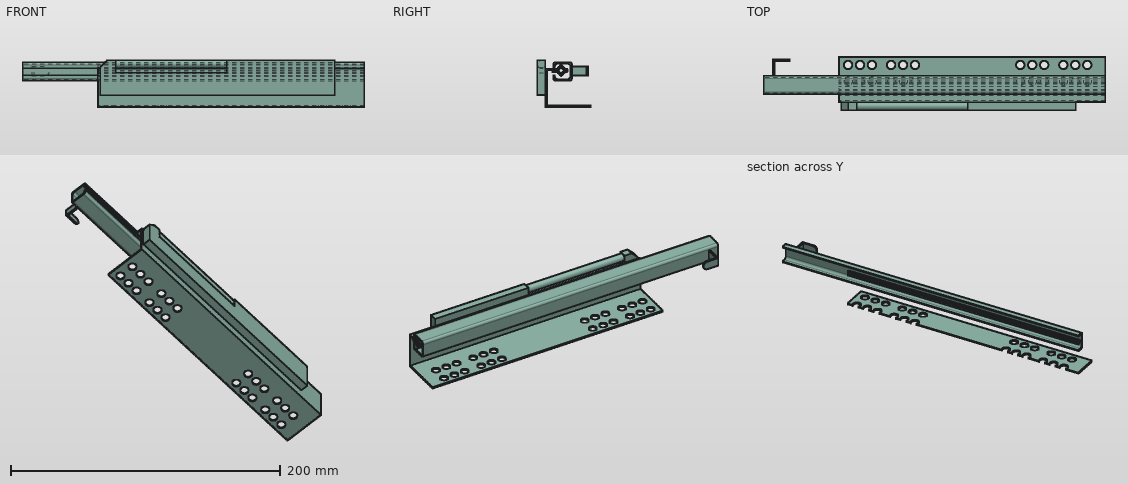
import cadquery as cq

LENGTH = 254.0
DEPTH = 40.0
HEIGHT = 35.0
SHEET = 1.3

COVER_DEPTH = 6.0
COVER_X = 57.7
COVER_LENGTH = 174.5
COVER_BOTTOM = 9.0
COVER_CHAMFER = 5.3
WINDOW_X = 69.0
WINDOW_LENGTH = 82.5
WINDOW_DEPTH = 9.5

RAIL_SIZE = 14.0
RAIL_Y = 12.0
RAIL_BOTTOM = 19.5
RAIL_RADIUS = 2.0
SLOT_BOTTOM = 24.0
SLOT_TOP = 29.0
TAB_X = 6.9
TAB_LENGTH = 12.7
TAB_BOTTOM = 23.4
TAB_HEIGHT = 6.9
TAB_BACK = 37.8

BRACKET_X = 56.0
BRACKET_LENGTH = LENGTH - BRACKET_X
LIP_TOP = 28.7
FOLD_GAP = 0.3
FOLD_HALF = SHEET + FOLD_GAP / 2
LIP_MID = LIP_TOP - FOLD_HALF
RETURN_EDGE_Y = 11.2
NOSE_Y = 22.5
DIAMOND_Y = 17.8
DIAMOND_HALF = 4.3
DIAMOND_INNER_HALF = 2.3

HOLE_DIAMETER = 6.0
HOLE_INSET = 6.0
ROW_PITCH = 12.0
FIRST_HOLE_X = 62.7
HOLE_PITCH = 9.0
GROUP_PITCH = 32.0
SET_PITCH = 128.0
ROWS = 2
SETS_PER_ROW = 2
GROUPS_PER_SET = 2
HOLES_PER_GROUP = 3


def box(x, y, z, length, depth, height):
    """Box with its lowest corner at (x, y, z)."""
    return cq.Workplane().box(length, depth, height, centered=False).translate((x, y, z))


def diamond(half):
    """Square bar standing on its edge, as long as the bracket."""
    corners = [
        (DIAMOND_Y - half, LIP_MID),
        (DIAMOND_Y, LIP_MID + half),
        (DIAMOND_Y + half, LIP_MID),
        (DIAMOND_Y, LIP_MID - half),
    ]
    return cq.Workplane("YZ", origin=(BRACKET_X, 0, 0)).polyline(corners).close().extrude(BRACKET_LENGTH)


def make_tab():
    """Hook that leaves the rail back and turns along X to a round end."""
    back_wall_y = RAIL_Y + RAIL_SIZE - SHEET
    arm = box(TAB_X, back_wall_y, TAB_BOTTOM, SHEET, TAB_BACK - back_wall_y, TAB_HEIGHT)
    end_radius = TAB_HEIGHT / 2
    finger = box(TAB_X, TAB_BACK - SHEET, TAB_BOTTOM, TAB_LENGTH - end_radius, SHEET, TAB_HEIGHT)
    end_x = TAB_X + TAB_LENGTH - end_radius
    end_plane = cq.Workplane("XZ", origin=(end_x, TAB_BACK, TAB_BOTTOM + end_radius))
    end_disc = end_plane.circle(end_radius).extrude(SHEET)
    return arm.union(finger).union(end_disc)


def make_rail():
    channel = box(0, RAIL_Y, RAIL_BOTTOM, LENGTH, RAIL_SIZE, RAIL_SIZE).edges("|X").fillet(RAIL_RADIUS)
    inner_size = RAIL_SIZE - 2 * SHEET
    bore = box(0, RAIL_Y + SHEET, RAIL_BOTTOM + SHEET, LENGTH, inner_size, inner_size)
    bore = bore.edges("|X").fillet(RAIL_RADIUS)
    slot = box(0, RAIL_Y, SLOT_BOTTOM, LENGTH, SHEET, SLOT_TOP - SLOT_BOTTOM)
    return channel.cut(bore).cut(slot).union(make_tab())


def make_lip():
    """Lip folded back on itself, opened into a diamond and rounded at its nose."""
    fold_depth = NOSE_Y - RETURN_EDGE_Y
    strip = box(BRACKET_X, RETURN_EDGE_Y, LIP_MID - FOLD_HALF, BRACKET_LENGTH, fold_depth, 2 * FOLD_HALF)
    strip = strip.edges("|X and >Y").fillet(SHEET)
    slit_bottom = LIP_MID - FOLD_GAP / 2
    slit = box(BRACKET_X, RETURN_EDGE_Y, slit_bottom, BRACKET_LENGTH, fold_depth - SHEET, FOLD_GAP)
    fold = strip.union(diamond(DIAMOND_HALF)).cut(slit).cut(diamond(DIAMOND_INNER_HALF))
    reach_depth = RETURN_EDGE_Y - COVER_DEPTH
    reach = box(BRACKET_X, COVER_DEPTH, LIP_TOP - SHEET, BRACKET_LENGTH, reach_depth, SHEET)
    return fold.union(reach)


def make_bracket():
    foot = box(BRACKET_X, COVER_DEPTH, 0, BRACKET_LENGTH, DEPTH - COVER_DEPTH, SHEET)
    upright = box(BRACKET_X, COVER_DEPTH, 0, BRACKET_LENGTH, SHEET, LIP_TOP)
    hole_centers = [
        (
            FIRST_HOLE_X + hole_set * SET_PITCH + group * GROUP_PITCH + hole * HOLE_PITCH,
            DEPTH - HOLE_INSET - row * ROW_PITCH,
        )
        for row in range(ROWS)
        for hole_set in range(SETS_PER_ROW)
        for group in range(GROUPS_PER_SET)
        for hole in range(HOLES_PER_GROUP)
    ]
    holes = cq.Workplane().pushPoints(hole_centers).circle(HOLE_DIAMETER / 2).extrude(SHEET)
    return foot.union(upright).cut(holes).union(make_lip())


def make_cover():
    plate = box(COVER_X, 0, COVER_BOTTOM, COVER_LENGTH, COVER_DEPTH, HEIGHT - COVER_BOTTOM)
    plate = plate.edges("<X and >Z").chamfer(COVER_CHAMFER)
    window = box(WINDOW_X, 0, HEIGHT - WINDOW_DEPTH, WINDOW_LENGTH, COVER_DEPTH, WINDOW_DEPTH)
    return plate.cut(window)


def make_rod():
    """Round rod between the window ends, flush with the cover top and front."""
    radius = COVER_DEPTH / 2
    end_plane = cq.Workplane("YZ", origin=(WINDOW_X, radius, HEIGHT - radius))
    return end_plane.circle(radius).extrude(WINDOW_LENGTH)


rail = make_rail()
bracket = make_bracket()
cover = make_cover()
rod = make_rod()

result = cq.Compound.makeCompound([rail.val(), bracket.val(), cover.val(), rod.val()])